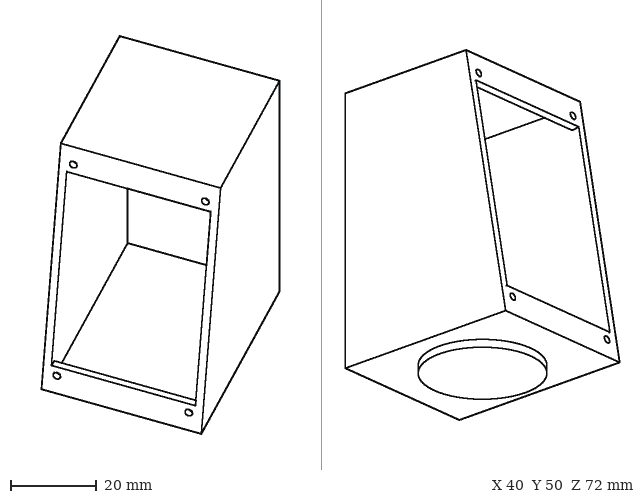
import cadquery as cq
import math

body_width = 40.0
body_depth = 50.0
body_height = 70.0
front_tilt = 10.0
wall = 2.0

window_width = 36.0
window_length = 56.0
screw_hole_diameter = 1.8
screw_spacing_x = 33.0
screw_spacing_slope = 61.0

foot_diameter = 30.0
foot_height = 2.0

tilt = math.radians(front_tilt)
top_setback = body_height * math.tan(tilt)

front_plane = cq.Plane(
    origin=(0, top_setback / 2, body_height / 2),
    xDir=(1, 0, 0),
    normal=(0, -math.cos(tilt), math.sin(tilt)),
)


def front_y(z, inset=0.0):
    """Y of the front face at height z, moved inward by inset along its normal."""
    return z * math.tan(tilt) + inset / math.cos(tilt)


def wedge(width, bottom, top, inset=0.0):
    """Block with a sloped front, centred on X and reaching to the back face."""
    return (
        cq.Workplane("YZ")
        .moveTo(front_y(bottom, inset), bottom)
        .lineTo(body_depth, bottom)
        .lineTo(body_depth, top)
        .lineTo(front_y(top, inset), top)
        .close()
        .extrude(width / 2, both=True)
    )


def shell():
    """Four walls and a sloped front plate, open at the back."""
    outside = wedge(body_width, 0, body_height)
    cavity = wedge(body_width - 2 * wall, wall, body_height - wall, inset=wall)
    return outside.cut(cavity)


def window():
    """Rectangular opening cut square to the front plate."""
    return cq.Workplane(front_plane).rect(window_width, window_length).extrude(-wall)


def screw_holes():
    """Four holes through the front plate, at the corners around the window."""
    return (
        cq.Workplane(front_plane)
        .rect(screw_spacing_x, screw_spacing_slope, forConstruction=True)
        .vertices()
        .circle(screw_hole_diameter / 2)
        .extrude(-wall)
    )


def foot():
    """Round disc centred under the base."""
    return (
        cq.Workplane("XY")
        .center(0, body_depth / 2)
        .circle(foot_diameter / 2)
        .extrude(-foot_height)
    )


result = shell().cut(window()).cut(screw_holes()).union(foot())